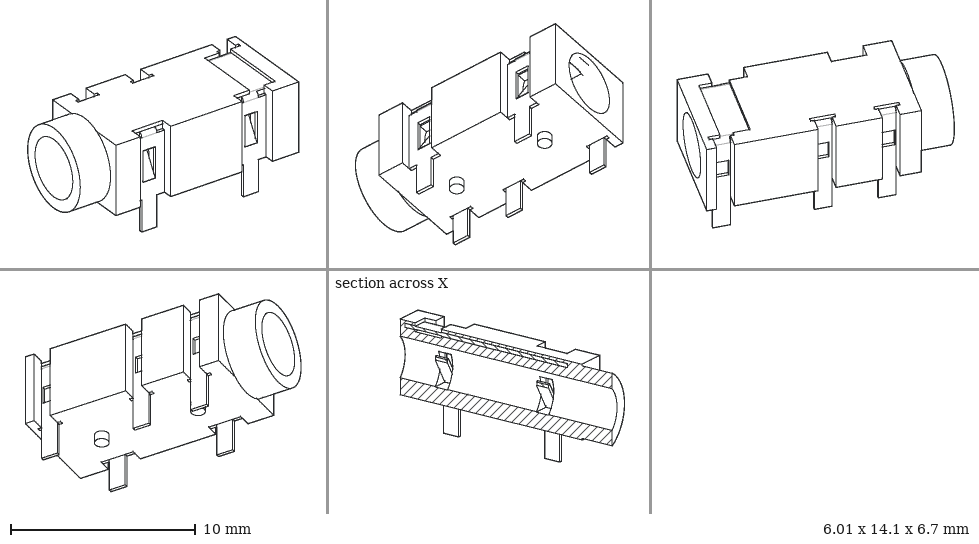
import cadquery as cq
import math


TOTAL_LENGTH = 14.05
TOTAL_HEIGHT = 6.7

BODY_WIDTH = 6.01
BODY_LENGTH = 12.05
BODY_HEIGHT = 4.4
COLLAR_DIAMETER = 5.0
COLLAR_LENGTH = TOTAL_LENGTH - BODY_LENGTH
BORE_DIAMETER = 3.58
PEG_DIAMETER = 0.8
PEG_HEIGHT = 0.5
PEG_Y = (3.0, 9.0)
POCKET_Y = (9.35, 11.05)
BODY_TOP = BODY_HEIGHT / 2
BODY_BOTTOM = -BODY_TOP
BODY_SIDE = BODY_WIDTH / 2

SHEET = 0.2
BEND_RADIUS = 0.31
CAGE_LEFT = -2.22
CAGE_RIGHT = 2.42
CAGE_TOP = 2.0
CAGE_Y = (1.0, 11.7)
LEG_WIDTH = 1.0
LEG_BOTTOM = COLLAR_DIAMETER / 2 - TOTAL_HEIGHT
INNER_LEFT = CAGE_LEFT + SHEET
INNER_RIGHT = CAGE_RIGHT - SHEET
BEND_END = CAGE_TOP - BEND_RADIUS

LEFT_LEGS = ((1.7, 1.66, 0.79), (5.3, 5.3, 0.65), (11.0, 11.0, 0.81))
RIGHT_LEGS = (2.61, 9.32)
LEFT_SHOULDER_WIDTH = 1.4
RIGHT_SHOULDER_WIDTH = 2 * LEG_WIDTH
LEFT_WINDOW_Z = (-0.6, 0.44)

TONGUE_WIDTH = 0.81
TONGUE_LENGTH = 1.95
TONGUE_TILT = math.radians(30)
TONGUE_HINGE_Z = -1.22


def box(x_range, y_range, z_range):
    """Axis-aligned box between the given limits."""
    (x0, x1), (y0, y1), (z0, z1) = x_range, y_range, z_range
    return cq.Workplane("XY").box(x1 - x0, y1 - y0, z1 - z0, centered=False).translate((x0, y0, z0))


def span(centre, width):
    """Limits of a width laid out evenly about a centre."""
    return (centre - width / 2, centre + width / 2)


def channel():
    """Full-length U channel from which the plate, legs and shoulders are taken."""
    def block(left, right, top, radius):
        solid = box((left, right), CAGE_Y, (LEG_BOTTOM, top))
        return solid.edges("|Y and >Z").fillet(radius)

    outside = block(CAGE_LEFT, CAGE_RIGHT, CAGE_TOP, BEND_RADIUS)
    inside = block(INNER_LEFT, INNER_RIGHT, CAGE_TOP - SHEET, BEND_RADIUS - SHEET)
    return outside.cut(inside)


def tongue(leg_y):
    """Flat strip rising from its hinge in a right leg and leaning toward the bore axis."""
    lean = math.sin(TONGUE_TILT)
    rise = math.cos(TONGUE_TILT)
    hinge = (INNER_RIGHT, TONGUE_HINGE_Z)
    tip = (hinge[0] - TONGUE_LENGTH * lean, hinge[1] + TONGUE_LENGTH * rise)
    back = (SHEET * rise, SHEET * lean)
    outline = [hinge, tip, (tip[0] + back[0], tip[1] + back[1]), (hinge[0] + back[0], hinge[1] + back[1])]
    return (
        cq.Workplane("XZ", origin=(0, leg_y, 0))
        .polyline(outline)
        .close()
        .extrude(TONGUE_WIDTH / 2, both=True)
    )


def make_cage():
    left_side = (CAGE_LEFT, INNER_LEFT)
    right_side = (INNER_RIGHT, CAGE_RIGHT)
    left_bend = (CAGE_LEFT, CAGE_LEFT + BEND_RADIUS)
    right_bend = (CAGE_RIGHT - BEND_RADIUS, CAGE_RIGHT)
    full_height = (LEG_BOTTOM, CAGE_TOP)
    shoulder_z = (BODY_BOTTOM, BEND_END)

    kept = box((INNER_LEFT, INNER_RIGHT), CAGE_Y, (BEND_END, CAGE_TOP))
    for leg_y, _, _ in LEFT_LEGS:
        kept = kept.union(box(left_bend, span(leg_y, LEG_WIDTH), full_height))
        kept = kept.union(box(left_side, span(leg_y, LEFT_SHOULDER_WIDTH), shoulder_z))
    for leg_y in RIGHT_LEGS:
        kept = kept.union(box(right_bend, span(leg_y, LEG_WIDTH), full_height))
        kept = kept.union(box(right_side, span(leg_y, RIGHT_SHOULDER_WIDTH), shoulder_z))
    cage = channel().intersect(kept)

    for _, window_y, window_width in LEFT_LEGS:
        cage = cage.cut(box(left_side, span(window_y, window_width), LEFT_WINDOW_Z))

    window_bottom = TONGUE_HINGE_Z + SHEET * math.sin(TONGUE_TILT)
    right_window_z = (window_bottom, window_bottom + TONGUE_LENGTH)
    for leg_y in RIGHT_LEGS:
        cage = cage.cut(box(right_side, span(leg_y, TONGUE_WIDTH), right_window_z))
        cage = cage.union(tongue(leg_y))
    return cage


def make_housing(cage):
    housing = box((-BODY_SIDE, BODY_SIDE), (0, BODY_LENGTH), (BODY_BOTTOM, BODY_TOP))

    collar = cq.Workplane("XZ").circle(COLLAR_DIAMETER / 2).extrude(COLLAR_LENGTH)
    bore = (
        cq.Workplane("XZ", origin=(0, BODY_LENGTH, 0))
        .circle(BORE_DIAMETER / 2)
        .extrude(BODY_LENGTH + COLLAR_LENGTH)
    )
    housing = housing.union(collar).cut(bore)

    pegs = (
        cq.Workplane("XY", origin=(0, 0, BODY_BOTTOM))
        .pushPoints([(0, y) for y in PEG_Y])
        .circle(PEG_DIAMETER / 2)
        .extrude(-PEG_HEIGHT)
    )
    housing = housing.union(pegs)

    housing = housing.cut(box((INNER_LEFT, INNER_RIGHT), POCKET_Y, (BEND_END, BODY_TOP)))

    full_height = (BODY_BOTTOM, BODY_TOP)
    for leg_y, _, _ in LEFT_LEGS:
        housing = housing.cut(box((-BODY_SIDE, CAGE_LEFT), span(leg_y, LEG_WIDTH), full_height))
        housing = housing.cut(
            box((CAGE_LEFT, INNER_LEFT), span(leg_y, LEFT_SHOULDER_WIDTH), full_height)
        )

    passage_z = (TONGUE_HINGE_Z, TONGUE_HINGE_Z + TONGUE_LENGTH)
    for leg_y in RIGHT_LEGS:
        housing = housing.cut(
            box((INNER_RIGHT, BODY_SIDE), span(leg_y, RIGHT_SHOULDER_WIDTH), full_height)
        )
        housing = housing.cut(box((0, INNER_RIGHT), span(leg_y, TONGUE_WIDTH), passage_z))

    return housing.cut(cage)


cage = make_cage()
housing = make_housing(cage)
result = cq.Compound.makeCompound([*housing.solids().vals(), *cage.solids().vals()])